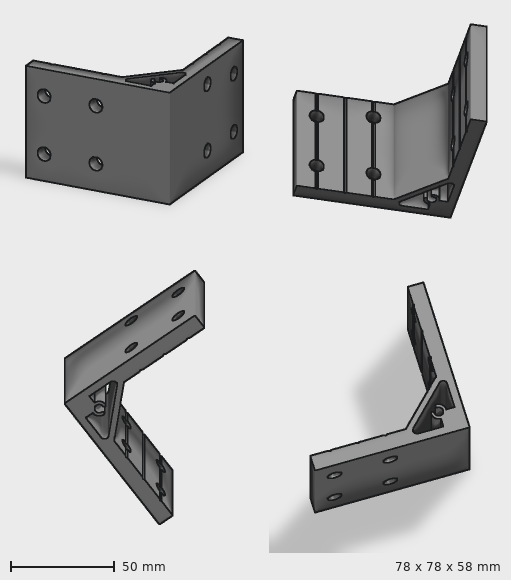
import cadquery as cq
import math

leg_length = 78.0
height = 58.0
leg_thickness = 8.0
edge_radius = 0.3

brace_reach = 29.9
brace_thickness = 3.05
cavity_wall = leg_thickness / 2
cavity_fillet = 2.0

block_size = 1.5 * leg_thickness
ring_outer_radius = 3.8
ring_inner_radius = 2.2

first_groove = 9.9
groove_pitch = 14.05
groove_count = 3
groove_width = 1.55
groove_depth = 0.5

hole_diameter = 7.0
hole_spacing = 30.1
raised_hole_z = 48.4

groove_places = [first_groove + i * groove_pitch for i in range(groove_count)]
outer_hole = groove_places[0]
inner_hole = groove_places[-1]
lower_hole_z = (height - hole_spacing) / 2
upper_hole_z = lower_hole_z + hole_spacing


def make_body():
    """Both legs and the solid triangle behind the brace."""
    inner_x = leg_length - leg_thickness
    outline = [
        (0, 0),
        (leg_length, 0),
        (leg_length, leg_length),
        (inner_x, leg_length),
        (inner_x, brace_reach),
        (leg_length - brace_reach, leg_thickness),
        (0, leg_thickness),
    ]
    body = cq.Workplane("XY").polyline(outline).close().extrude(height)
    return body.edges("|Z").fillet(edge_radius)


def make_corner_block():
    """Square block at the outer corner, with a three-quarter screw ring on its free corner."""
    tip_radius = (ring_outer_radius - ring_inner_radius) / 2
    tip_distance = ring_inner_radius + tip_radius
    tip_centres = [(-tip_distance, 0), (0, tip_distance)]
    centre = cq.Workplane("XY", origin=(leg_length - block_size, block_size, 0))

    block = centre.rect(block_size, -block_size, centered=False).extrude(height)
    ring = centre.circle(ring_outer_radius).extrude(height)
    opening = centre.rect(-ring_outer_radius, ring_outer_radius, centered=False).extrude(height)
    bore = centre.circle(ring_inner_radius).extrude(height)
    tips = centre.pushPoints(tip_centres).circle(tip_radius).extrude(height)
    return block.union(ring.cut(opening)).cut(bore).union(tips)


def make_cavity():
    """Triangular void behind the brace, with its two sharp corners rounded."""
    slant_sum = brace_reach + leg_thickness - brace_thickness * math.sqrt(2)
    cavity_reach = slant_sum - cavity_wall
    triangle = [
        (leg_length - cavity_wall, cavity_wall),
        (leg_length - cavity_wall, cavity_reach),
        (leg_length - cavity_reach, cavity_wall),
    ]
    cavity = cq.Workplane("XY").polyline(triangle).close().extrude(height)
    return cavity.edges("|Z and (<X or >Y)").fillet(cavity_fillet)


def make_groove(place):
    """V groove in the inner face of the leg that lies along X."""
    profile = [
        (place - groove_width / 2, leg_thickness),
        (place, leg_thickness - groove_depth),
        (place + groove_width / 2, leg_thickness),
    ]
    return cq.Workplane("XY").polyline(profile).close().extrude(height)


def make_hole(place, z):
    """Through hole in the leg that lies along X."""
    return cq.Workplane("XZ").center(place, z).circle(hole_diameter / 2).extrude(-leg_thickness)


def onto_y_leg(shape):
    """Mirror a feature of the X leg across the bracket's diagonal, onto the Y leg."""
    turned = shape.mirror("XZ").rotate((0, 0, 0), (0, 0, 1), -90)
    return turned.translate((leg_length, leg_length, 0))


result = make_body().cut(make_cavity().cut(make_corner_block()))

for groove_place in groove_places:
    groove = make_groove(groove_place)
    result = result.cut(groove).cut(onto_y_leg(groove))

shared_holes = [
    (outer_hole, lower_hole_z),
    (outer_hole, upper_hole_z),
    (inner_hole, lower_hole_z),
]
for hole_place, hole_z in shared_holes:
    hole = make_hole(hole_place, hole_z)
    result = result.cut(hole).cut(onto_y_leg(hole))

result = result.cut(make_hole(inner_hole, upper_hole_z))
result = result.cut(onto_y_leg(make_hole(inner_hole, raised_hole_z)))